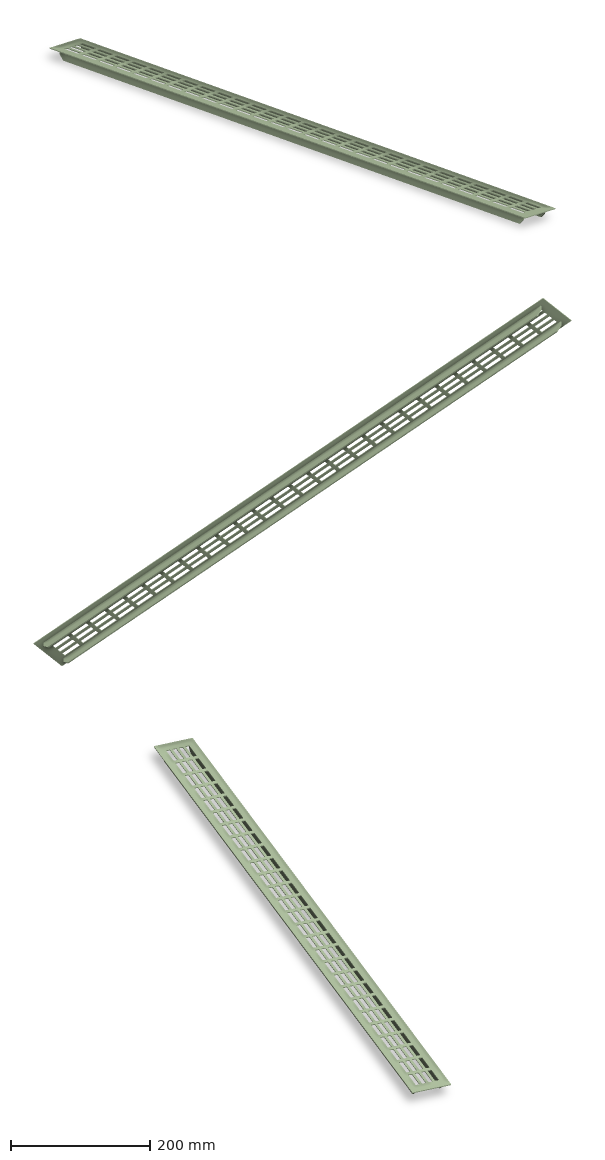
import cadquery as cq

length = 1000.0
width = 60.0
height = 16.5
plate_thickness = 1.5

column_count = 27
row_count = 4
slot_length = 30.0
slot_width = 6.0
slot_corner_radius = 1.0
cross_bar_width = 6.0
slat_width = 4.0
column_pitch = slot_length + cross_bar_width
row_pitch = slot_width + slat_width

flange_length = 976.0
flange_height = height - plate_thickness
flange_thickness = 2.0
flange_outer_spacing = 44.0
flange_corner_cut = 8.0
flange_offset = (flange_outer_spacing - flange_thickness) / 2


def face_plate():
    """Rectangular plate resting on top of the flanges."""
    plate = cq.Workplane("XY", origin=(0, 0, flange_height))
    return plate.box(length, width, plate_thickness, centered=(True, True, False))


def grille_slots():
    """Grid of round-cornered slots as deep as the plate."""
    slots = (
        cq.Workplane("XY", origin=(0, 0, flange_height))
        .rarray(column_pitch, row_pitch, column_count, row_count)
        .rect(slot_length, slot_width)
        .extrude(plate_thickness)
    )
    return slots.edges("|Z").fillet(slot_corner_radius)


def flange(y_center):
    """Upright strip running along X, centred on y_center."""
    strip = cq.Workplane("XY", origin=(0, y_center, 0)).box(
        flange_length, flange_thickness, flange_height, centered=(True, True, False)
    )
    return strip.edges("|Y and <Z").chamfer(flange_corner_cut)


result = face_plate().cut(grille_slots())
for y_center in (-flange_offset, flange_offset):
    result = result.union(flange(y_center))